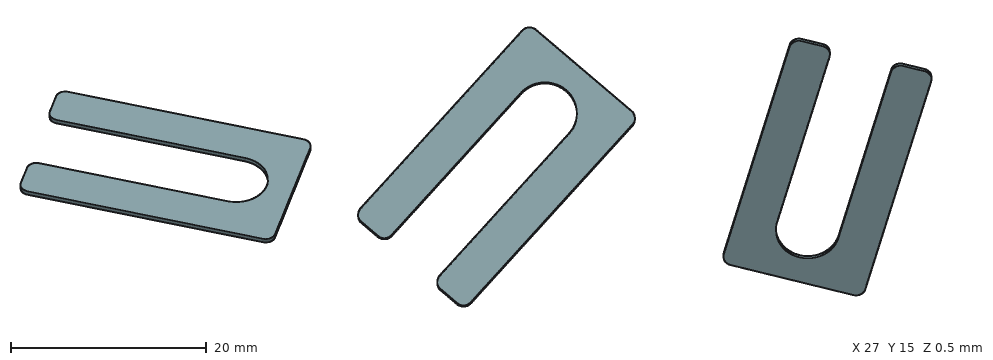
import cadquery as cq

length = 27.0
width = 15.0
thickness = 0.5
slot_width = 6.5
end_web = 2.75
corner_radius = 1.0

slot_radius = slot_width / 2
open_edge_x = -length / 2
slot_tip_x = length / 2 - end_web
slot_arc_x = slot_tip_x - slot_radius


def make_slot():
    """Slot open towards -X with a full-round inner end."""
    return (
        cq.Workplane("XY")
        .moveTo(open_edge_x, -slot_radius)
        .lineTo(slot_arc_x, -slot_radius)
        .threePointArc((slot_tip_x, 0), (slot_arc_x, slot_radius))
        .lineTo(open_edge_x, slot_radius)
        .close()
        .extrude(thickness)
    )


plate = cq.Workplane("XY").rect(length, width).extrude(thickness)
shim = plate.cut(make_slot())

closed_end_corners = shim.edges("|Z and >X")
open_end_corners = shim.edges("|Z and <X")
result = closed_end_corners.add(open_end_corners).fillet(corner_radius)